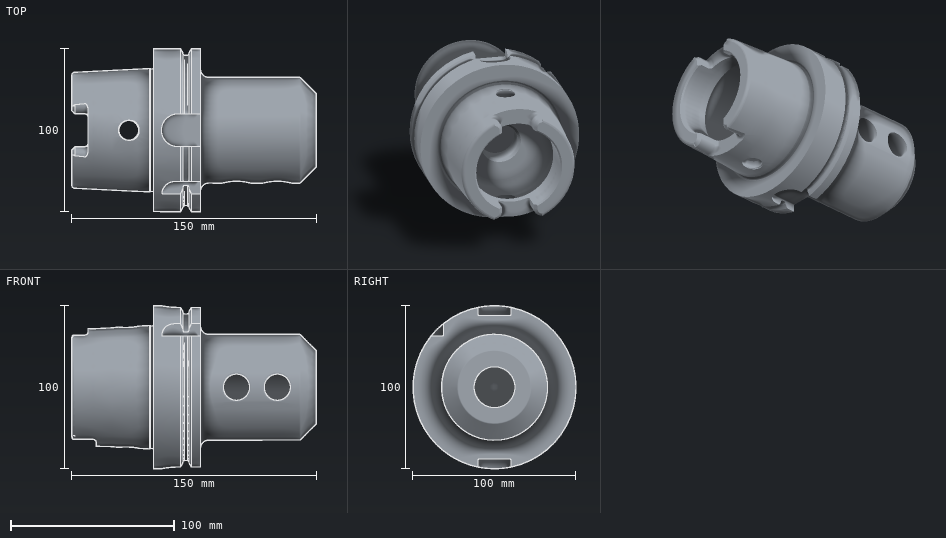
import cadquery as cq
import math


SHANK_END_X = -50.0
TAPER_END_X = -2.2
TAPER_END_RADIUS = 37.9
TAPER_SLOPE = 0.05
RIM_FILLET = 2.0

RELIEF_START_X = -1.6
RELIEF_RADIUS = 37.6
RELIEF_FILLET = 1.0
RELIEF_FILLET_X = -0.5
RELIEF_MOUTH_RADIUS = 39.6

FLANGE_RADIUS = 50.0
FLANGE_WIDTH = 29.0
GROOVE_CENTRE_X = 20.0
GROOVE_MOUTH_HALF = 3.3
GROOVE_STEP_HALF = 1.8
GROOVE_FLANK_ANGLE = 30.0
GROOVE_BOTTOM_RADIUS = 46.1
GROOVE_BOTTOM_FILLET = 0.95

NOSE_RADIUS = 32.5
NOSE_END_X = 100.0
NOSE_ROOT_FILLET = 5.0
NOSE_CHAMFER = 10.0
NOSE_EDGE_FILLET = 1.0

CAVITY_MOUTH_RADIUS = 27.4
CAVITY_RADIUS = 26.5
LIP_X = -30.0
CHAMBER_RADIUS = 32.0
CHAMBER_END_X = -10.0
CHAMBER_FLOOR_FILLET = 7.3

SOCKET_RADIUS = 11.2
SOCKET_CHAMFER = 1.4
SOCKET_DEPTH = 12.0

KEYWAY_HALF_WIDTH = 10.0
KEYWAY_SHELF_Z = 32.0
KEYWAY_ROUND = 5.0
KEYWAY_EDGE = 2.0
KEYWAY_DEPTHS = (10.0, 15.0)
KEYWAY_INNER_Z = 15.0
KEYWAY_OUTER_Z = 45.0
KEYWAY_SHELF_HALF = 25.0

ACCESS_X = -15.0
ACCESS_RADIUS = 6.0
ACCESS_RIM_RADIUS = 6.4
ACCESS_RIM_HEIGHT = 37.0

SLOT_TIP_X = 5.0
SLOT_HALF_WIDTH = 10.0
SLOT_FLOOR = 44.0

FLANGE_CUT_FILLET = 0.5

NOTCH_CORNER = 31.4
NOTCH_END_RADIUS = 8.0
NOTCH_STRAIGHT_X = 13.2

BORE_RADIUS = 12.5
BORE_DEPTH = 59.0
SCREW_XS = (51.0, 76.0)
SCREW_RADIUS = 8.0
SCREW_CHAMFER_WIDTH = 1.0
SCREW_CHAMFER_DEPTH = 0.2

CLEARANCE = 5.0
EDGE_MARGIN = 1.0


def rise(run, angle):
    """Side opposite an angle in degrees, for a given adjacent side."""
    return run * math.tan(math.radians(angle))


def arc_middle(centre, radius, angle):
    """Point on a circle at an angle in degrees."""
    turn = math.radians(angle)
    return (centre[0] + radius * math.cos(turn), centre[1] + radius * math.sin(turn))


def revolve_about_x(outline):
    return outline.close().revolve(360, (0, 0, 0), (1, 0, 0))


def make_body():
    """Shank, flange and nose as one turned solid, without the gripper groove."""
    rim_radius = TAPER_END_RADIUS - TAPER_SLOPE * (TAPER_END_X - SHANK_END_X)
    outline = (
        cq.Workplane("XY")
        .moveTo(SHANK_END_X, 0)
        .lineTo(SHANK_END_X, rim_radius)
        .lineTo(TAPER_END_X, TAPER_END_RADIUS)
        .lineTo(RELIEF_START_X, RELIEF_RADIUS)
        .lineTo(RELIEF_FILLET_X, RELIEF_RADIUS)
        .radiusArc((RELIEF_FILLET_X + RELIEF_FILLET, RELIEF_RADIUS + RELIEF_FILLET), -RELIEF_FILLET)
        .lineTo(0, RELIEF_MOUTH_RADIUS)
        .lineTo(0, FLANGE_RADIUS)
        .lineTo(FLANGE_WIDTH, FLANGE_RADIUS)
        .lineTo(FLANGE_WIDTH, NOSE_RADIUS + NOSE_ROOT_FILLET)
        .radiusArc((FLANGE_WIDTH + NOSE_ROOT_FILLET, NOSE_RADIUS), -NOSE_ROOT_FILLET)
        .lineTo(NOSE_END_X - NOSE_CHAMFER, NOSE_RADIUS)
        .lineTo(NOSE_END_X, NOSE_RADIUS - NOSE_CHAMFER)
        .lineTo(NOSE_END_X, 0)
    )
    body = revolve_about_x(outline)
    body = body.faces("<X").edges().fillet(RIM_FILLET)
    nose_end = cq.selectors.BoxSelector(
        (NOSE_END_X - NOSE_CHAMFER - CLEARANCE, -FLANGE_RADIUS, -FLANGE_RADIUS),
        (NOSE_END_X + CLEARANCE, FLANGE_RADIUS, FLANGE_RADIUS),
    )
    return body.edges("%CIRCLE").edges(nose_end).fillet(NOSE_EDGE_FILLET)


def make_gripper_groove():
    """Ring removed by the gripper groove, symmetric about its centre plane."""
    step_radius = FLANGE_RADIUS - (GROOVE_MOUTH_HALF - GROOVE_STEP_HALF) / rise(1, GROOVE_FLANK_ANGLE)
    bottom_half = GROOVE_STEP_HALF - GROOVE_BOTTOM_FILLET
    fillet_radius = GROOVE_BOTTOM_RADIUS + GROOVE_BOTTOM_FILLET
    outer = FLANGE_RADIUS + CLEARANCE
    centre = GROOVE_CENTRE_X
    outline = (
        cq.Workplane("XY")
        .moveTo(centre - GROOVE_MOUTH_HALF, outer)
        .lineTo(centre - GROOVE_MOUTH_HALF, FLANGE_RADIUS)
        .lineTo(centre - GROOVE_STEP_HALF, step_radius)
        .lineTo(centre - GROOVE_STEP_HALF, fillet_radius)
        .radiusArc((centre - bottom_half, GROOVE_BOTTOM_RADIUS), -GROOVE_BOTTOM_FILLET)
        .lineTo(centre + bottom_half, GROOVE_BOTTOM_RADIUS)
        .radiusArc((centre + GROOVE_STEP_HALF, fillet_radius), -GROOVE_BOTTOM_FILLET)
        .lineTo(centre + GROOVE_STEP_HALF, step_radius)
        .lineTo(centre + GROOVE_MOUTH_HALF, FLANGE_RADIUS)
        .lineTo(centre + GROOVE_MOUTH_HALF, outer)
    )
    return revolve_about_x(outline)


def make_cavity():
    """Clamping cavity: chamfered mouth, clamping lip, wider chamber and a chamfered blind socket."""
    mouth_chamfer = CAVITY_MOUTH_RADIUS - CAVITY_RADIUS
    floor_x = CHAMBER_END_X + CHAMBER_FLOOR_FILLET
    outline = (
        cq.Workplane("XY")
        .moveTo(SHANK_END_X, 0)
        .lineTo(SHANK_END_X, CAVITY_MOUTH_RADIUS)
        .lineTo(SHANK_END_X + mouth_chamfer, CAVITY_RADIUS)
        .lineTo(LIP_X, CAVITY_RADIUS)
        .lineTo(LIP_X, CHAMBER_RADIUS)
        .lineTo(CHAMBER_END_X, CHAMBER_RADIUS)
        .radiusArc((floor_x, CHAMBER_RADIUS - CHAMBER_FLOOR_FILLET), CHAMBER_FLOOR_FILLET)
        .lineTo(floor_x, SOCKET_RADIUS + SOCKET_CHAMFER)
        .lineTo(floor_x + SOCKET_CHAMFER, SOCKET_RADIUS)
        .lineTo(floor_x + SOCKET_DEPTH, SOCKET_RADIUS)
        .lineTo(floor_x + SOCKET_DEPTH, 0)
    )
    return revolve_about_x(outline)


def keyway_section(x, growth):
    """Keyway section across X: straight walls that round outwards onto a shelf, grown evenly on all sides."""
    half = KEYWAY_HALF_WIDTH + growth
    shelf = KEYWAY_SHELF_Z - growth
    round_radius = KEYWAY_ROUND - growth
    centre = (KEYWAY_HALF_WIDTH + KEYWAY_ROUND, KEYWAY_SHELF_Z - KEYWAY_ROUND)
    middle = arc_middle(centre, round_radius, 135)
    return (
        cq.Workplane("YZ", origin=(x, 0, 0))
        .moveTo(-half, KEYWAY_INNER_Z)
        .lineTo(half, KEYWAY_INNER_Z)
        .lineTo(half, centre[1])
        .threePointArc(middle, (centre[0], shelf))
        .lineTo(KEYWAY_SHELF_HALF, shelf)
        .lineTo(KEYWAY_SHELF_HALF, KEYWAY_OUTER_Z)
        .lineTo(-KEYWAY_SHELF_HALF, KEYWAY_OUTER_Z)
        .lineTo(-KEYWAY_SHELF_HALF, shelf)
        .lineTo(-centre[0], shelf)
        .threePointArc((-middle[0], middle[1]), (-half, centre[1]))
        .close()
    )


def make_keyway(depth):
    """Keyway on the +Z side, with a filleted floor and an entry chamfered along the walls but not the shelf."""
    channel = keyway_section(SHANK_END_X, 0).extrude(depth)
    channel = channel.faces(">X").edges().fillet(KEYWAY_EDGE)
    wide = keyway_section(SHANK_END_X, KEYWAY_EDGE).wires().val()
    narrow = keyway_section(SHANK_END_X + KEYWAY_EDGE, 0).wires().val()
    entry = cq.Workplane(cq.Solid.makeLoft([wide, narrow], True))
    shelf_start = KEYWAY_HALF_WIDTH + KEYWAY_ROUND
    walls = cq.Workplane().box(-2 * SHANK_END_X, 2 * shelf_start, 2 * KEYWAY_SHELF_Z)
    return channel.union(entry.intersect(walls))


def make_access_hole():
    """Hole through both shank walls along Z, with a small countersink at each mouth."""
    plane = cq.Workplane("XZ", origin=(ACCESS_X, 0, 0))
    sink_base = ACCESS_RIM_HEIGHT - (ACCESS_RIM_RADIUS - ACCESS_RADIUS)
    top = ACCESS_RIM_HEIGHT + CLEARANCE
    outline = (
        plane.moveTo(0, -top)
        .lineTo(ACCESS_RIM_RADIUS, -top)
        .lineTo(ACCESS_RIM_RADIUS, -ACCESS_RIM_HEIGHT)
        .lineTo(ACCESS_RADIUS, -sink_base)
        .lineTo(ACCESS_RADIUS, sink_base)
        .lineTo(ACCESS_RIM_RADIUS, ACCESS_RIM_HEIGHT)
        .lineTo(ACCESS_RIM_RADIUS, top)
        .lineTo(0, top)
        .close()
    )
    return outline.revolve(360, (0, 0, 0), (0, 1, 0))


def make_flange_slot():
    """Round-ended flat slot on the +Z side of the flange, open towards the nose."""
    straight_x = SLOT_TIP_X + SLOT_HALF_WIDTH
    return (
        cq.Workplane("XY", origin=(0, 0, SLOT_FLOOR))
        .moveTo(FLANGE_WIDTH, -SLOT_HALF_WIDTH)
        .lineTo(straight_x, -SLOT_HALF_WIDTH)
        .threePointArc((SLOT_TIP_X, 0), (straight_x, SLOT_HALF_WIDTH))
        .lineTo(FLANGE_WIDTH, SLOT_HALF_WIDTH)
        .close()
        .extrude(FLANGE_RADIUS - SLOT_FLOOR + CLEARANCE)
        .faces("<Z")
        .edges("not(>X)")
        .fillet(FLANGE_CUT_FILLET)
    )


def make_orientation_notch():
    """Square corner notch on the -Y +Z side of the flange, ended by an upright round wall."""
    centre = (NOTCH_STRAIGHT_X, -NOTCH_CORNER - NOTCH_END_RADIUS)
    tip = (NOTCH_STRAIGHT_X - NOTCH_END_RADIUS, centre[1])
    return (
        cq.Workplane("XY", origin=(0, 0, NOTCH_CORNER))
        .moveTo(FLANGE_WIDTH, -NOTCH_CORNER)
        .lineTo(NOTCH_STRAIGHT_X, -NOTCH_CORNER)
        .threePointArc(arc_middle(centre, NOTCH_END_RADIUS, 135), tip)
        .lineTo(tip[0], -FLANGE_RADIUS)
        .lineTo(FLANGE_WIDTH, -FLANGE_RADIUS)
        .close()
        .extrude(FLANGE_RADIUS - NOTCH_CORNER)
        .faces("<Z")
        .edges(">Y or %CIRCLE")
        .fillet(FLANGE_CUT_FILLET)
    )


def make_tool_bore():
    return cq.Workplane("YZ", origin=(NOSE_END_X - BORE_DEPTH, 0, 0)).circle(BORE_RADIUS).extrude(BORE_DEPTH)


def drill_screw_hole(holder, x):
    """Radial hole from the -Y side into the tool bore, chamfered along its edge on the nose surface."""
    drill = cq.Workplane("XZ", origin=(x, 0, 0)).circle(SCREW_RADIUS).extrude(NOSE_RADIUS + CLEARANCE)
    reach = SCREW_RADIUS + EDGE_MARGIN
    mouth = cq.selectors.BoxSelector(
        (x - reach, -NOSE_RADIUS - EDGE_MARGIN, -reach),
        (x + reach, -BORE_RADIUS - EDGE_MARGIN, reach),
        True,
    )
    rim = holder.cut(drill).edges(mouth)
    return rim.chamfer(SCREW_CHAMFER_WIDTH, SCREW_CHAMFER_DEPTH)


def place(cutter, side_angle):
    """Turn a cutter made on the +Z side about the X axis."""
    return cutter.rotate((0, 0, 0), (1, 0, 0), side_angle)


holder = make_body().cut(make_gripper_groove()).cut(make_cavity())
for keyway_depth, side in zip(KEYWAY_DEPTHS, (0, 180)):
    holder = holder.cut(place(make_keyway(keyway_depth), side))
    holder = holder.cut(place(make_flange_slot(), side))
holder = holder.cut(make_access_hole()).cut(make_orientation_notch()).cut(make_tool_bore())
for screw_x in SCREW_XS:
    holder = drill_screw_hole(holder, screw_x)

result = holder